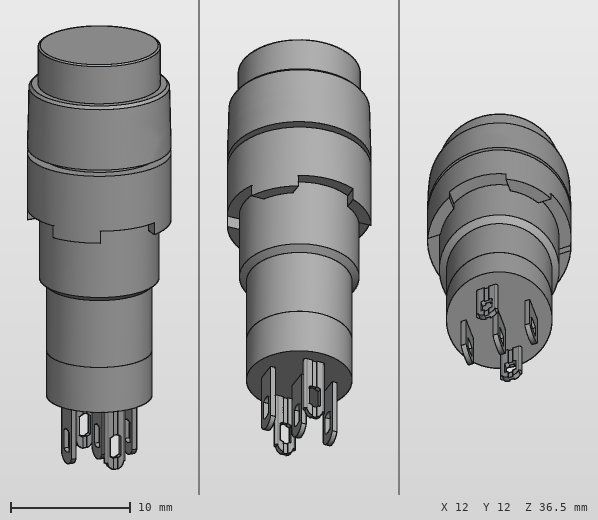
import cadquery as cq

TOTAL_HEIGHT = 36.5
BASE_BOTTOM = 5.6
BASE_TOP = 9.55
BARREL_CHAMFER_BOTTOM = 15.48
BARREL_CHAMFER_TOP = 15.95
NUT_BOTTOM = 21.1
NUT_TOP = 27.0
BEZEL_BOTTOM = 27.55
BEZEL_TOP = 33.1

BASE_RADIUS = 4.4
BARREL_RADIUS = 5.0
NUT_RADIUS = 6.005
BEZEL_TOP_RADIUS = 5.88
BEZEL_MIDDLE_RADIUS = 5.968
BUTTON_RADIUS = 5.1

BEZEL_CHAMFER_WIDTH = 0.22
BEZEL_CHAMFER_HEIGHT = 0.25
BUTTON_CHAMFER_WIDTH = 0.2
BUTTON_CHAMFER_HEIGHT = 0.1

NOTCH_WIDTH = 5.0
NOTCH_DEPTH = 1.05

TERMINAL_WIDTH = 1.9
TERMINAL_THICKNESS = 0.45
TIP_HEIGHT = 0.65
GROOVE_WIDTH = 0.4
GROOVE_DEPTH = 0.1
EYE_WIDTH = 1.0
EYE_BOTTOM = 1.02
EYE_TOP = 3.03
EYE_END_RISE = 0.2
LAMP_TERMINAL_X = 3.0
SWITCH_TERMINAL_Y = 2.8


def make_housing():
    """Stepped barrel with the barrel-shaped bezel and the button on top."""
    bezel_shoulder = BEZEL_TOP - BEZEL_CHAMFER_HEIGHT
    bezel_middle = (BEZEL_BOTTOM + bezel_shoulder) / 2
    button_shoulder = TOTAL_HEIGHT - BUTTON_CHAMFER_HEIGHT
    return (
        cq.Workplane("XZ")
        .moveTo(0, BASE_TOP)
        .lineTo(-BASE_RADIUS, BASE_TOP)
        .lineTo(-BASE_RADIUS, BARREL_CHAMFER_BOTTOM)
        .lineTo(-BARREL_RADIUS, BARREL_CHAMFER_TOP)
        .lineTo(-BARREL_RADIUS, BEZEL_BOTTOM)
        .lineTo(-NUT_RADIUS, BEZEL_BOTTOM)
        .threePointArc((-BEZEL_MIDDLE_RADIUS, bezel_middle), (-BEZEL_TOP_RADIUS, bezel_shoulder))
        .lineTo(-BEZEL_TOP_RADIUS + BEZEL_CHAMFER_WIDTH, BEZEL_TOP)
        .lineTo(-BUTTON_RADIUS, BEZEL_TOP)
        .lineTo(-BUTTON_RADIUS, button_shoulder)
        .lineTo(-BUTTON_RADIUS + BUTTON_CHAMFER_WIDTH, TOTAL_HEIGHT)
        .lineTo(0, TOTAL_HEIGHT)
        .close()
        .revolve(360, (0, 0, 0), (0, 1, 0))
    )


def make_nut():
    """Ring around the barrel, with crossed notches that leave four tabs."""
    ring = (
        cq.Workplane("XY", origin=(0, 0, NUT_BOTTOM))
        .circle(NUT_RADIUS)
        .circle(BARREL_RADIUS)
        .extrude(NUT_TOP - NUT_BOTTOM)
    )
    nut_diameter = 2 * NUT_RADIUS
    notches = (
        cq.Workplane("XY", origin=(0, 0, NUT_BOTTOM))
        .rect(nut_diameter, NOTCH_WIDTH)
        .extrude(NOTCH_DEPTH)
        .union(
            cq.Workplane("XY", origin=(0, 0, NUT_BOTTOM))
            .rect(NOTCH_WIDTH, nut_diameter)
            .extrude(NOTCH_DEPTH)
        )
    )
    return ring.cut(notches)


def terminal_plate(width):
    """Flat tab with a curved tip, centred on the axis and facing Y."""
    half = width / 2
    return (
        cq.Workplane("XZ")
        .moveTo(-half, BASE_BOTTOM)
        .lineTo(-half, TIP_HEIGHT)
        .threePointArc((0, 0), (half, TIP_HEIGHT))
        .lineTo(half, BASE_BOTTOM)
        .close()
        .extrude(TERMINAL_THICKNESS / 2, both=True)
    )


def terminal_eye():
    """Slot with shallow curved ends for the solder wire."""
    half = EYE_WIDTH / 2
    return (
        cq.Workplane("XZ")
        .moveTo(-half, EYE_BOTTOM + EYE_END_RISE)
        .threePointArc((0, EYE_BOTTOM), (half, EYE_BOTTOM + EYE_END_RISE))
        .lineTo(half, EYE_TOP - EYE_END_RISE)
        .threePointArc((0, EYE_TOP), (-half, EYE_TOP - EYE_END_RISE))
        .close()
        .extrude(TERMINAL_THICKNESS, both=True)
    )


def make_switch_terminal():
    """Square-edged terminal, facing Y."""
    return terminal_plate(TERMINAL_WIDTH).cut(terminal_eye())


def make_lamp_terminal():
    """Terminal with fully rounded side edges and a groove down each face, facing X."""
    flat_width = TERMINAL_WIDTH - TERMINAL_THICKNESS
    terminal = terminal_plate(flat_width)
    rounded_edges = (
        cq.Workplane("XY", origin=(0, 0, TIP_HEIGHT))
        .slot2D(TERMINAL_WIDTH, TERMINAL_THICKNESS)
        .extrude(BASE_BOTTOM - TIP_HEIGHT)
    )
    grooves = (
        cq.Workplane("XY")
        .pushPoints([(0, -TERMINAL_THICKNESS / 2), (0, TERMINAL_THICKNESS / 2)])
        .rect(GROOVE_WIDTH, 2 * GROOVE_DEPTH)
        .extrude(BASE_BOTTOM)
    )
    terminal = terminal.union(rounded_edges).cut(grooves).cut(terminal_eye())
    return terminal.rotate((0, 0, 0), (0, 0, 1), 90)


def make_base():
    """Round base with three switch terminals in a row and a lamp terminal on each side."""
    base = (
        cq.Workplane("XY", origin=(0, 0, BASE_BOTTOM))
        .circle(BASE_RADIUS)
        .extrude(BASE_TOP - BASE_BOTTOM)
    )
    switch_terminal = make_switch_terminal()
    for y in (-SWITCH_TERMINAL_Y, 0, SWITCH_TERMINAL_Y):
        base = base.union(switch_terminal.translate((0, y, 0)))
    lamp_terminal = make_lamp_terminal()
    for x in (-LAMP_TERMINAL_X, LAMP_TERMINAL_X):
        base = base.union(lamp_terminal.translate((x, 0, 0)))
    return base


housing = make_housing()
nut = make_nut()
base = make_base()
result = cq.Compound.makeCompound([housing.val(), nut.val(), base.val()])